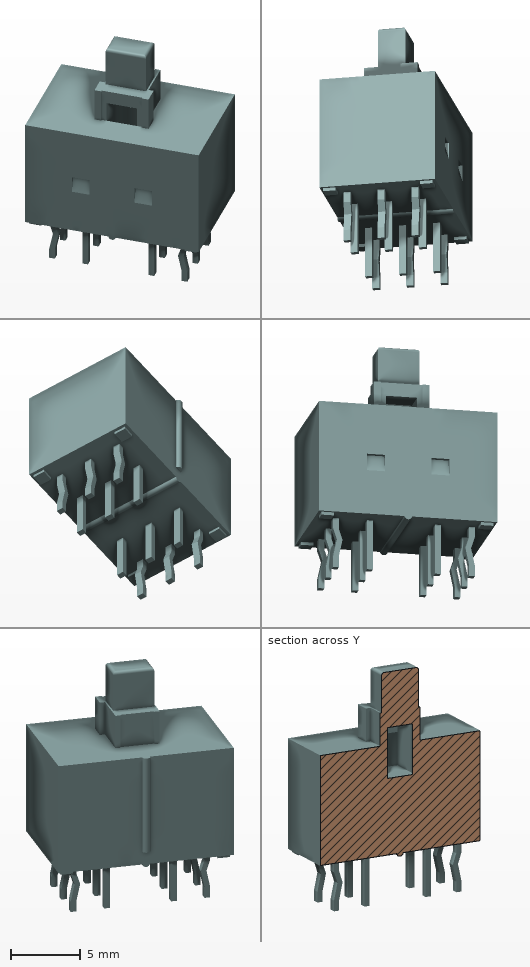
import cadquery as cq

housing_length = 13.1
housing_depth = 8.5
housing_height = 8.3
front_y = -housing_depth / 2
back_y = housing_depth / 2

rib_radius = 0.3
rib_start = 1.0

window_inner_x = 1.7
window_width = 1.33
window_top = 4.53
window_height = 1.25
window_depth = 0.35

collar_height = 2.5
collar_depth = 4.0
collar_width = 3.3
collar_front_width = 4.08
collar_front_depth = 1.22
relief_depth = 0.1
back_relief_width = 2.54

bore_radius = 1.15
bore_height = 1.28
slot_height = 1.5
well_depth = 2.5

plunger_width = 3.06
plunger_depth = 2.01
plunger_height = 3.0
plunger_round = 0.23

standoff_height = 0.23
pad_size = 0.91
pad_inset = 0.23
ridge_width = 0.56

total_height = 17.5
pin_length = total_height - housing_height - collar_height - plunger_height
pin_pitch = 2.5
inner_pin_x = pin_pitch
outer_pin_x = 2 * pin_pitch
pin_thickness = 0.42
pin_width = 0.52
bend_start = 0.77
bend_peak = 1.61
bend_end = 2.9
bend_offset = 0.28
pin_rows = (-pin_pitch, 0, pin_pitch)


def block(width, depth, height, x=0, y=0, z=0):
    """Box centred on (x, y) that stands on height z."""
    return cq.Workplane("XY").box(width, depth, height, centered=(True, True, False)).translate((x, y, z))


def make_housing():
    body = block(housing_length, housing_depth, housing_height)
    rib = (
        cq.Workplane("XY", origin=(0, back_y, rib_start))
        .circle(rib_radius)
        .extrude(housing_height - rib_start)
    )
    return body.union(rib)


def latch_window(side):
    """Wedge cut whose floor slopes from the front face up to the flat ceiling."""
    window_floor = window_top - window_height
    left_x = window_inner_x if side > 0 else -window_inner_x - window_width
    return (
        cq.Workplane("YZ", origin=(left_x, 0, 0))
        .moveTo(front_y, window_floor)
        .lineTo(front_y + window_depth, window_top)
        .lineTo(front_y, window_top)
        .close()
        .extrude(window_width)
    )


def make_collar():
    """Block with a wider front flange and shallow reliefs in its front and back faces."""
    base = housing_height
    front = -collar_depth / 2
    collar = block(collar_width, collar_depth, collar_height, z=base)
    flange = block(
        collar_front_width, collar_front_depth, collar_height, y=front + collar_front_depth / 2, z=base
    )
    front_relief = block(plunger_width, 2 * relief_depth, collar_height, y=front, z=base)
    back_relief = block(back_relief_width, 2 * relief_depth, collar_height, y=-front, z=base)
    return collar.union(flange).cut(front_relief).cut(back_relief)


def spring_well():
    """Cut for the round bore and its front slot, through the collar into the housing."""
    floor = housing_height - well_depth
    slot_length = collar_depth / 2 - relief_depth
    bore = cq.Workplane("XY", origin=(0, 0, floor)).circle(bore_radius).extrude(well_depth + bore_height)
    slot = block(2 * bore_radius, slot_length, well_depth + slot_height, y=-slot_length / 2, z=floor)
    return bore.union(slot)


def make_plunger():
    plunger = block(plunger_width, plunger_depth, plunger_height, z=housing_height + collar_height)
    return plunger.faces(">Z").edges().fillet(plunger_round)


def make_standoffs():
    """Square pads in the four corners and a rounded ridge along the middle."""
    ridge = (
        cq.Workplane("XZ", origin=(0, back_y, 0))
        .moveTo(-ridge_width / 2, 0)
        .threePointArc((0, -standoff_height), (ridge_width / 2, 0))
        .close()
        .extrude(housing_depth)
    )
    pad_x = housing_length / 2 - pad_inset - pad_size / 2
    pad_y = housing_depth / 2 - pad_inset - pad_size / 2
    standoffs = ridge
    for x in (-pad_x, pad_x):
        for y in (-pad_y, pad_y):
            standoffs = standoffs.union(block(pad_size, pad_size, standoff_height, x, y, -standoff_height))
    return standoffs


def straight_pin(x, y):
    return block(pin_thickness, pin_width, pin_length, x, y, -pin_length)


def bent_pin(side, y):
    """Outer pin kinked towards the middle of the housing so that it grips its hole."""
    center_line = (
        (0, 0),
        (0, -bend_start),
        (bend_offset, -bend_peak),
        (0, -bend_end),
        (0, -pin_length),
    )
    outer_edge = [(x - pin_thickness / 2, z) for x, z in center_line]
    inner_edge = [(x + pin_thickness / 2, z) for x, z in reversed(center_line)]
    left_pin = (
        cq.Workplane("XZ", origin=(0, y + pin_width / 2, 0))
        .polyline(outer_edge + inner_edge)
        .close()
        .extrude(pin_width)
        .translate((-outer_pin_x, 0, 0))
    )
    return left_pin if side < 0 else left_pin.mirror("YZ")


result = make_housing().union(make_collar()).cut(spring_well())
result = result.union(make_plunger()).union(make_standoffs())
for side in (-1, 1):
    result = result.cut(latch_window(side))
    for row_y in pin_rows:
        result = result.union(straight_pin(side * inner_pin_x, row_y))
        result = result.union(bent_pin(side, row_y))